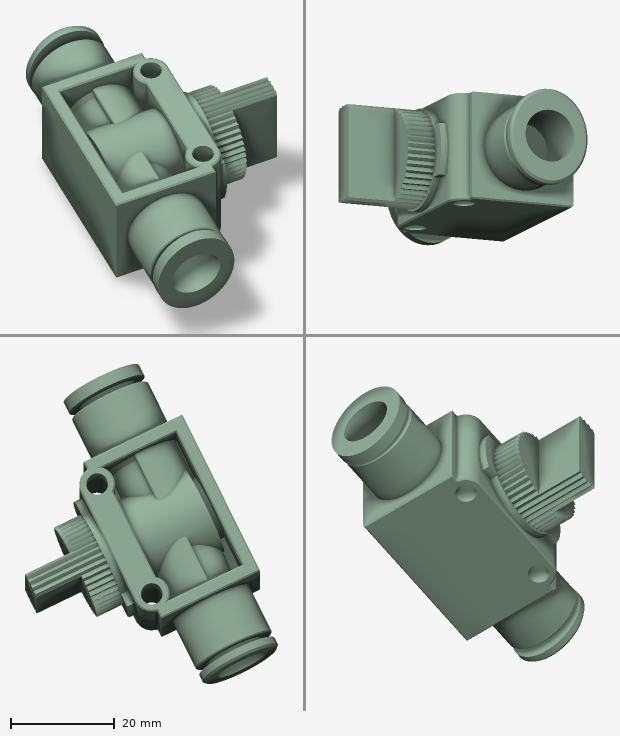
import cadquery as cq
import math


overall_length = 61.4
overall_depth = 40.9

body_length = 34.15
body_size = 21.2
half_size = body_size / 2
top_y = 13.65
boss_x = 12.0
boss_radius = 3.45
boss_y = top_y - boss_radius
screw_hole_diameter = 4.2
shoulder_fillet = 0.3
edge_chamfer = 0.3

pocket_half_length = 14.5
pocket_half_width = 8.05
floor_z = 0

core_radius = 8.95
core_foot_y = -6.9
collar_radius = 6.45
channel_radius = 6.5
flare_radius = 7.25
flare_length = 1.0
sleeve_radius = 7.9
sleeve_overlap = 1.05
sleeve_edge_fillet = 0.5

tube_diameter = 16.35
tube_end_x = 27.3
tube_chamfer = 0.25
neck_diameter = 11.7
bore_diameter = 10.2
release_start_x = 28.55
release_end_left = 30.45
release_end_right = overall_length - release_end_left
release_half_width = 8.1
release_half_height = 9.35
release_chamfer = 0.5

flange_top_y = 15.1
flange_radius = 9.95
ear_radius = 12.35
ear_width = 10.2
knob_top_y = 20.7
grip_top_y = overall_depth - half_size
grip_thickness = 5.05
knob_radius = 9.6
knob_root_radius = 8.95
tooth_count = 45


def x_cylinder(radius, x_start, x_end):
    """Round bar on the port axis between two X positions."""
    return cq.Workplane("YZ", origin=(x_start, 0, 0)).circle(radius).extrude(x_end - x_start)


def y_workplane(y):
    """Plane across the knob axis, facing +Y."""
    return cq.Workplane("XZ", origin=(0, y, 0)).transformed(rotate=(180, 0, 0))


def boss_cylinders(radius):
    """Full-height cylinders at the two screw positions."""
    return (
        cq.Workplane("XY", origin=(0, 0, -half_size))
        .pushPoints([(-boss_x, boss_y), (boss_x, boss_y)])
        .circle(radius)
        .extrude(body_size)
    )


def make_housing():
    block = cq.Workplane("XY").box(body_length, body_size, body_size)
    plate = cq.Workplane("XY").box(2 * boss_x, top_y, body_size).translate((0, top_y / 2, 0))
    bosses = boss_cylinders(boss_radius)
    housing = block.union(plate).union(bosses)

    corner_x = boss_x + math.sqrt(boss_radius**2 - (half_size - boss_y) ** 2)
    for side in (-1, 1):
        corner = cq.selectors.NearestToPointSelector((side * corner_x, half_size, 0))
        housing = housing.edges("|Z").edges(corner).fillet(shoulder_fillet)

    pocket_depth = half_size - floor_z
    pocket = (
        cq.Workplane("XY", origin=(0, 0, floor_z))
        .rect(2 * pocket_half_length, 2 * pocket_half_width)
        .extrude(pocket_depth)
        .cut(bosses)
    )
    housing = housing.cut(pocket)
    housing = housing.faces(">Z or <Z").edges().chamfer(edge_chamfer)
    return housing.cut(boss_cylinders(screw_hole_diameter / 2))


def make_half_sleeve():
    """Half sleeve on the -X side, covering the +Y half of the passage."""
    length = pocket_half_length
    height = sleeve_radius + sleeve_overlap
    kept_part = cq.Workplane("XY").box(length, height, 2 * sleeve_radius)
    kept_part = kept_part.translate((-length / 2, height / 2 - sleeve_overlap, 0))
    sleeve = x_cylinder(sleeve_radius, -length, 0).intersect(kept_part)
    return sleeve.faces("<Y").edges("|X").fillet(sleeve_edge_fillet)


def make_passages():
    core = y_workplane(core_foot_y).circle(core_radius).extrude(pocket_half_width - core_foot_y)
    collar = y_workplane(-pocket_half_width).circle(collar_radius).extrude(pocket_half_width)
    channel = x_cylinder(channel_radius, -pocket_half_length, pocket_half_length)
    flare = (
        cq.Workplane("XY")
        .moveTo(-pocket_half_length, 0)
        .lineTo(-pocket_half_length, flare_radius)
        .lineTo(flare_length - pocket_half_length, channel_radius)
        .lineTo(flare_length - pocket_half_length, 0)
        .close()
        .revolve(360, (0, 0, 0), (1, 0, 0))
    )
    passages = core.union(collar).union(channel)

    side = flare.union(make_half_sleeve())
    for angle in (0, 180):
        passages = passages.union(side.rotate((0, 0, 0), (0, 0, 1), angle))
    return passages


def make_port(side, release_end):
    """Tube, neck and oval release ring, bored down to the housing; side is -1 for -X, +1 for +X."""
    body_end = body_length / 2
    tube = x_cylinder(tube_diameter / 2, body_end, tube_end_x).faces(">X").chamfer(tube_chamfer)
    neck = x_cylinder(neck_diameter / 2, body_end, release_end)
    ring = (
        cq.Workplane("YZ", origin=(release_start_x, 0, 0))
        .ellipse(release_half_width, release_half_height)
        .extrude(release_end - release_start_x)
    )
    if side < 0:
        ring = ring.faces(">X").chamfer(release_chamfer)
    bore = x_cylinder(bore_diameter / 2, body_end, release_end)
    port = tube.union(neck).union(ring).cut(bore)
    return port if side > 0 else port.mirror("YZ")


def make_knob():
    flange_height = flange_top_y - top_y
    flange = y_workplane(top_y).circle(flange_radius).extrude(flange_height)
    ears = y_workplane(top_y).circle(ear_radius).extrude(flange_height)
    ear_band = y_workplane(top_y).rect(2 * ear_radius, ear_width).extrude(flange_height)
    flange = flange.union(ears.intersect(ear_band))

    outline = []
    for step in range(2 * tooth_count):
        radius = knob_radius if step % 2 == 0 else knob_root_radius
        angle = math.pi * step / tooth_count + math.pi / 2
        outline.append((radius * math.cos(angle), radius * math.sin(angle)))
    serrated = y_workplane(flange_top_y).polyline(outline).close().extrude(grip_top_y - flange_top_y)

    round_part = y_workplane(flange_top_y).circle(knob_radius).extrude(knob_top_y - flange_top_y)
    grip = (
        y_workplane(flange_top_y)
        .rect(grip_thickness, 2 * knob_radius)
        .extrude(grip_top_y - flange_top_y)
    )
    return flange.union(serrated.intersect(round_part.union(grip)))


result = (
    make_housing()
    .union(make_passages())
    .union(make_port(-1, release_end_left))
    .union(make_port(1, release_end_right))
    .union(make_knob())
)